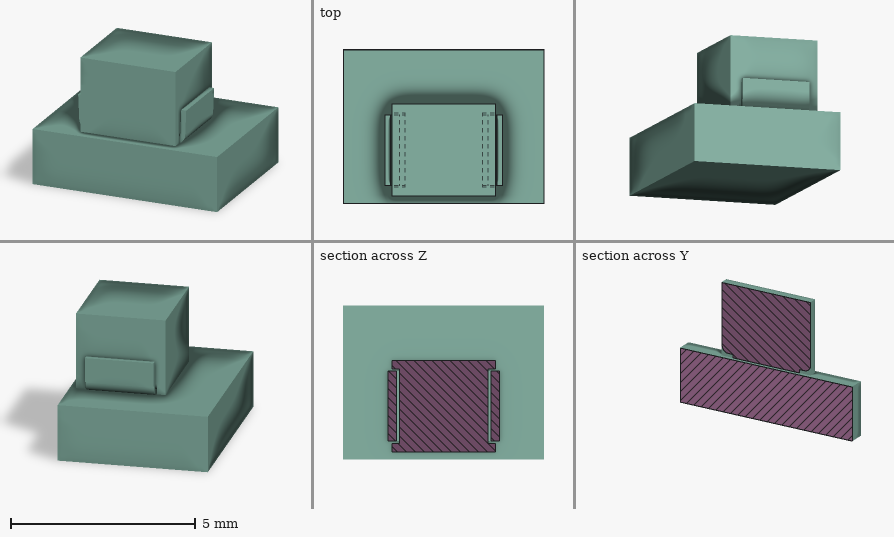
import cadquery as cq
import math

board_length = 5.46
board_width = 4.19
board_height = 1.6

block_length = 2.82
block_width = 2.5
block_top = 3.8
block_offset_y = -0.64
standoff = 0.05

terminal_thickness = 0.15
terminal_width = 1.91
terminal_height = 1.005
terminal_outer_radius = 0.3
terminal_lean = 2.5
terminal_reach = 0.19
foot_inset = 0.35

recess_clearance = 0.05
recess_round = 0.2

block_half = block_length / 2


def extrude_across(outline, width):
    """Extrude an XZ outline symmetrically in Y about the block's centre plane."""
    return outline.extrude(width / 2, both=True).translate((0, block_offset_y, board_height))


def make_board():
    return cq.Workplane("XY").box(board_length, board_width, board_height, centered=(True, True, False))


def make_block():
    outline = (
        cq.Workplane("XZ")
        .moveTo(-block_half, standoff)
        .lineTo(block_half, standoff)
        .lineTo(block_half, block_top - board_height)
        .lineTo(-block_half, block_top - board_height)
        .close()
    )
    return extrude_across(outline, block_width)


def make_recess():
    """Cutter for the -X foot recess; its upper side leaves the block edge rounded."""
    foot_end = foot_inset - block_half
    outline = (
        cq.Workplane("XZ")
        .moveTo(-block_half, 0)
        .lineTo(foot_end, 0)
        .lineTo(foot_end, terminal_thickness)
        .lineTo(recess_round - block_half, terminal_thickness)
        .radiusArc((-block_half, terminal_thickness + recess_round), recess_round)
        .close()
    )
    return extrude_across(outline, terminal_width + 2 * recess_clearance)


def make_terminal():
    """The -X terminal: a flat foot, a bend and a leg that leans outwards."""
    lean = math.radians(terminal_lean)
    inner_radius = terminal_outer_radius - terminal_thickness
    foot_end = foot_inset - block_half

    bend_end_z = terminal_outer_radius * (1 - math.sin(lean))
    outer_top_x = -block_half - terminal_reach
    outer_bend_x = outer_top_x + (terminal_height - bend_end_z) * math.tan(lean)
    bend_centre_x = outer_bend_x + terminal_outer_radius * math.cos(lean)
    inner_bend_x = bend_centre_x - inner_radius * math.cos(lean)
    inner_bend_z = terminal_outer_radius - inner_radius * math.sin(lean)
    inner_top_x = outer_top_x + terminal_thickness / math.cos(lean)

    outline = (
        cq.Workplane("XZ")
        .moveTo(foot_end, 0)
        .lineTo(bend_centre_x, 0)
        .radiusArc((outer_bend_x, bend_end_z), terminal_outer_radius)
        .lineTo(outer_top_x, terminal_height)
        .lineTo(inner_top_x, terminal_height)
        .lineTo(inner_bend_x, inner_bend_z)
        .radiusArc((bend_centre_x, terminal_thickness), -inner_radius)
        .lineTo(foot_end, terminal_thickness)
        .close()
    )
    return extrude_across(outline, terminal_width)


def make_component():
    """The block and its two terminals, joined as one solid."""
    component = make_block()
    recess = make_recess()
    terminal = make_terminal()
    axis_start = (0, block_offset_y, 0)
    axis_end = (0, block_offset_y, 1)
    for turn in (0, 180):
        component = component.cut(recess.rotate(axis_start, axis_end, turn))
        component = component.union(terminal.rotate(axis_start, axis_end, turn))
    return component


board = make_board()
component = make_component()
result = cq.Compound.makeCompound([board.val(), *component.solids().vals()])